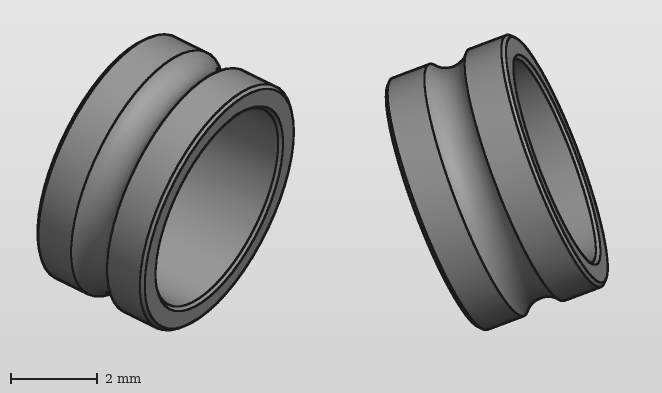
import cadquery as cq

outer_diameter = 6.2
bore_diameter = 5.0
width = 3.0
edge_chamfer = 0.08

groove_width = 1.005
groove_depth = 0.25

outer_radius = outer_diameter / 2
bore_radius = bore_diameter / 2
half_width = width / 2
half_groove = groove_width / 2


def ring_section():
    """Half section of the ring: x along the axis, y along the radius."""
    return (
        cq.Workplane("XY")
        .moveTo(-half_width, bore_radius + edge_chamfer)
        .lineTo(-half_width, outer_radius - edge_chamfer)
        .lineTo(-half_width + edge_chamfer, outer_radius)
        .lineTo(-half_groove, outer_radius)
        .threePointArc((0, outer_radius - groove_depth), (half_groove, outer_radius))
        .lineTo(half_width - edge_chamfer, outer_radius)
        .lineTo(half_width, outer_radius - edge_chamfer)
        .lineTo(half_width, bore_radius + edge_chamfer)
        .lineTo(half_width - edge_chamfer, bore_radius)
        .lineTo(-half_width + edge_chamfer, bore_radius)
        .close()
    )


result = ring_section().revolve(360, (0, 0, 0), (1, 0, 0))